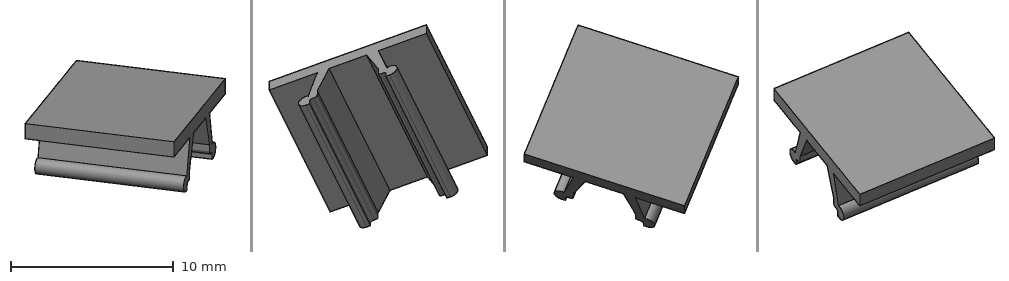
import cadquery as cq
import math

length_x = 9.6
width_y = 10.5
plate_thickness = 1.02
total_height = 4.3

root_inner_y = 1.25
root_outer_y = 2.04
foot_inner_y = 2.04
kink_height = 1.18
leg_outer_end_y = 2.64

bead_radius = 0.5
bead_center_y = 2.79
lip_inner_y = 2.55
step_radius = 0.2

plate_bottom_z = -plate_thickness
bottom_z = -total_height
bead_center_z = bottom_z + bead_radius
step_z = bead_center_z
kink_z = bottom_z + kink_height
bead_start_z = bead_center_z + math.sqrt(bead_radius**2 - (leg_outer_end_y - bead_center_y)**2)


def make_plate():
    return (
        cq.Workplane("XY", origin=(0, 0, plate_bottom_z))
        .rect(length_x, width_y)
        .extrude(plate_thickness)
    )


def make_leg():
    """Leg on the +Y side, running the full length of the plate."""
    return (
        cq.Workplane("YZ", origin=(-length_x / 2, 0, 0))
        .moveTo(root_inner_y, plate_bottom_z)
        .lineTo(root_outer_y, plate_bottom_z)
        .lineTo(leg_outer_end_y, bead_start_z)
        .threePointArc((bead_center_y + bead_radius, bead_center_z), (bead_center_y, bottom_z))
        .lineTo(lip_inner_y, bottom_z)
        .lineTo(lip_inner_y, step_z - step_radius)
        .tangentArcPoint((lip_inner_y - step_radius, step_z), relative=False)
        .lineTo(foot_inner_y + step_radius, step_z)
        .tangentArcPoint((foot_inner_y, step_z + step_radius), relative=False)
        .lineTo(foot_inner_y, kink_z)
        .close()
        .extrude(length_x)
    )


leg = make_leg()
result = make_plate().union(leg).union(leg.mirror("XZ"))